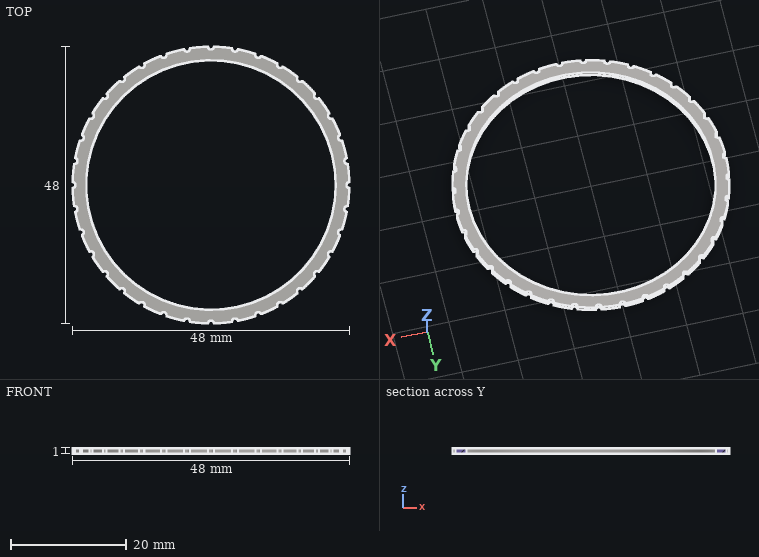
import cadquery as cq

outer_diameter = 48.0
inner_diameter = 43.2
thickness = 1.0
notch_count = 36
notch_diameter = 1.0

ring = (
    cq.Workplane("XY")
    .circle(outer_diameter / 2)
    .circle(inner_diameter / 2)
    .extrude(thickness)
)

notches = (
    cq.Workplane("XY")
    .polarArray(outer_diameter / 2, 0, 360, notch_count)
    .circle(notch_diameter / 2)
    .extrude(thickness)
)

result = ring.cut(notches)